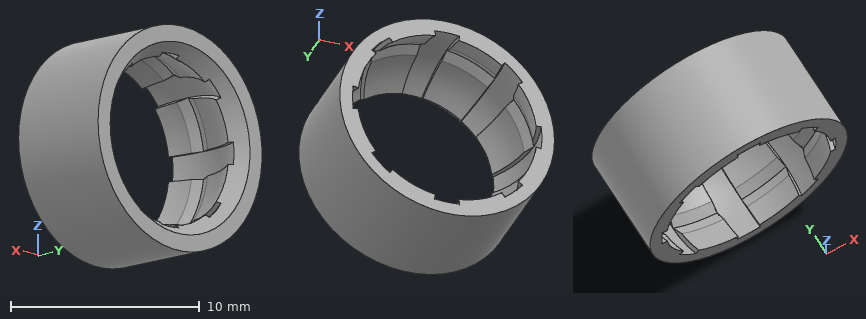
import cadquery as cq
import math

outer_radius = 6.1
length = 6.0
front_y = -length / 2
rear_y = length / 2

socket_centre_y = front_y + length / 3
land_sphere_radius = 5.47
slot_sphere_radius = 5.73

flare_end_radius = 5.18
flare_angle = 35.0

groove_half_width = 0.61

slot_count = 8
slot_angle = 15.0
slot_inner_radius = 3.66


def radius_at(sphere_radius, y):
    """Socket radius at a station along the ring axis."""
    return math.sqrt(sphere_radius**2 - (y - socket_centre_y) ** 2)


def flare_start(sphere_radius):
    """(radius, y) where the flare cone meets a socket sphere, behind its centre."""
    slope = math.tan(math.radians(flare_angle))
    centre_radius = flare_end_radius - slope * (rear_y - socket_centre_y)
    a = 1 + slope**2
    b = 2 * slope * centre_radius
    c = centre_radius**2 - sphere_radius**2
    offset = (-b + math.sqrt(b**2 - 4 * a * c)) / (2 * a)
    return centre_radius + slope * offset, socket_centre_y + offset


def arc_to(profile, sphere_radius, start_y, end_point):
    """Continue a profile along a socket sphere."""
    middle_y = (start_y + end_point[1]) / 2
    return profile.threePointArc((radius_at(sphere_radius, middle_y), middle_y), end_point)


def grooved_ring():
    """Ring with the land sphere, V groove and rear flare turned into its bore."""
    groove_front_y = socket_centre_y - groove_half_width
    groove_rear_y = socket_centre_y + groove_half_width
    groove_edge_radius = radius_at(land_sphere_radius, groove_front_y)
    profile = (
        cq.Workplane("XY")
        .moveTo(outer_radius, front_y)
        .lineTo(radius_at(land_sphere_radius, front_y), front_y)
    )
    profile = arc_to(profile, land_sphere_radius, front_y, (groove_edge_radius, groove_front_y))
    profile = profile.lineTo(slot_sphere_radius, socket_centre_y)
    profile = profile.lineTo(groove_edge_radius, groove_rear_y)
    profile = arc_to(profile, land_sphere_radius, groove_rear_y, flare_start(land_sphere_radius))
    profile = profile.lineTo(flare_end_radius, rear_y).lineTo(outer_radius, rear_y).close()
    return profile.revolve(360, (0, 0, 0), (0, 1, 0))


def slot_cutter():
    """Sector of the slot sphere, centred on the +X axis."""
    flare_radius, flare_y = flare_start(slot_sphere_radius)
    profile = (
        cq.Workplane("XY")
        .moveTo(slot_inner_radius, front_y)
        .lineTo(radius_at(slot_sphere_radius, front_y), front_y)
    )
    profile = arc_to(profile, slot_sphere_radius, front_y, (slot_sphere_radius, socket_centre_y))
    profile = arc_to(profile, slot_sphere_radius, socket_centre_y, (flare_radius, flare_y))
    profile = profile.lineTo(slot_inner_radius, flare_y).close()
    sector = profile.revolve(slot_angle, (0, 0, 0), (0, 1, 0))
    return sector.rotate((0, 0, 0), (0, 1, 0), -slot_angle / 2)


result = grooved_ring()
for index in range(slot_count):
    turn = index * 360 / slot_count
    result = result.cut(slot_cutter().rotate((0, 0, 0), (0, 1, 0), turn))